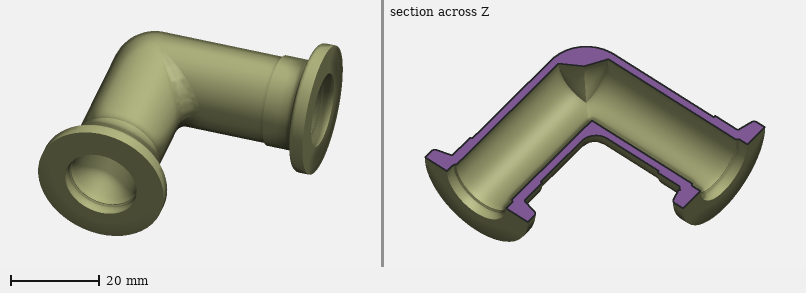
import cadquery as cq
import math

OVERALL = 55.0
FLANGE_DIAMETER = 30.0
FLANGE_RADIUS = FLANGE_DIAMETER / 2
LEG_LENGTH = OVERALL - FLANGE_RADIUS

TUBE_RADIUS = 10.0
INNER_CORNER_FILLET = 4.0
SLEEVE_RADIUS = 10.5
SLEEVE_LENGTH = 11.0

TAPER_ANGLE = math.radians(15)
RIM_THICKNESS = 3.2
RIM_FILLET = 1.0
NECK_FILLET = 0.4

MOUTH_RADIUS = 8.5
MOUTH_DEPTH = 2.4
STEP_RADIUS = 16.35 / 2
STEP_DEPTH = MOUTH_RADIUS - STEP_RADIUS
BORE_RADIUS = 16.0 / 2
DRILL_POINT_ANGLE = math.radians(118)
DRILL_POINT_LENGTH = BORE_RADIUS / math.tan(DRILL_POINT_ANGLE / 2)


def revolve_about_x(profile):
    return profile.close().revolve(360, (0, 0, 0), (1, 0, 0))


def turn_to_minus_y(body):
    """Give the -Y leg's copy of a body made for the +X leg."""
    return body.rotate((0, 0, 0), (0, 0, 1), -90)


def make_tubes():
    """Two tubes with a ball on the outer corner and a fillet in the inner corner."""
    tube = cq.Workplane("YZ").circle(TUBE_RADIUS).extrude(LEG_LENGTH - RIM_THICKNESS)
    ball = cq.Workplane("XY").sphere(TUBE_RADIUS)
    tubes = tube.union(turn_to_minus_y(tube))
    inner_corner = cq.selectors.BoxSelector(
        (0, 0, -TUBE_RADIUS), (TUBE_RADIUS, -TUBE_RADIUS, TUBE_RADIUS), boundingbox=False
    )
    tubes = tubes.edges(inner_corner).fillet(INNER_CORNER_FILLET)
    return tubes.union(ball)


def make_flange():
    """Sleeve and clamp flange of the +X leg."""
    rim_back = LEG_LENGTH - RIM_THICKNESS
    taper_length = (FLANGE_RADIUS - SLEEVE_RADIUS) * math.tan(TAPER_ANGLE)
    neck = rim_back - taper_length
    profile = (
        cq.Workplane("XY")
        .moveTo(LEG_LENGTH - SLEEVE_LENGTH, 0)
        .lineTo(LEG_LENGTH - SLEEVE_LENGTH, SLEEVE_RADIUS)
        .lineTo(neck, SLEEVE_RADIUS)
        .lineTo(rim_back, FLANGE_RADIUS)
        .lineTo(LEG_LENGTH, FLANGE_RADIUS)
        .lineTo(LEG_LENGTH, 0)
    )
    flange = revolve_about_x(profile)
    flange = flange.faces("%CONE").edges(">X").fillet(RIM_FILLET)
    return flange.faces("%CONE").edges("<X").fillet(NECK_FILLET)


def make_bore():
    """Void of the +X leg, ending in a drill point just past the corner."""
    step_start = LEG_LENGTH - MOUTH_DEPTH
    shoulder = step_start - STEP_DEPTH
    profile = (
        cq.Workplane("XY")
        .moveTo(-DRILL_POINT_LENGTH, 0)
        .lineTo(0, BORE_RADIUS)
        .lineTo(shoulder, BORE_RADIUS)
        .lineTo(shoulder, STEP_RADIUS)
        .lineTo(step_start, MOUTH_RADIUS)
        .lineTo(LEG_LENGTH, MOUTH_RADIUS)
        .lineTo(LEG_LENGTH, 0)
    )
    return revolve_about_x(profile)


flange = make_flange()
bore = make_bore()
outside = make_tubes().union(flange).union(turn_to_minus_y(flange))
result = outside.cut(bore).cut(turn_to_minus_y(bore))